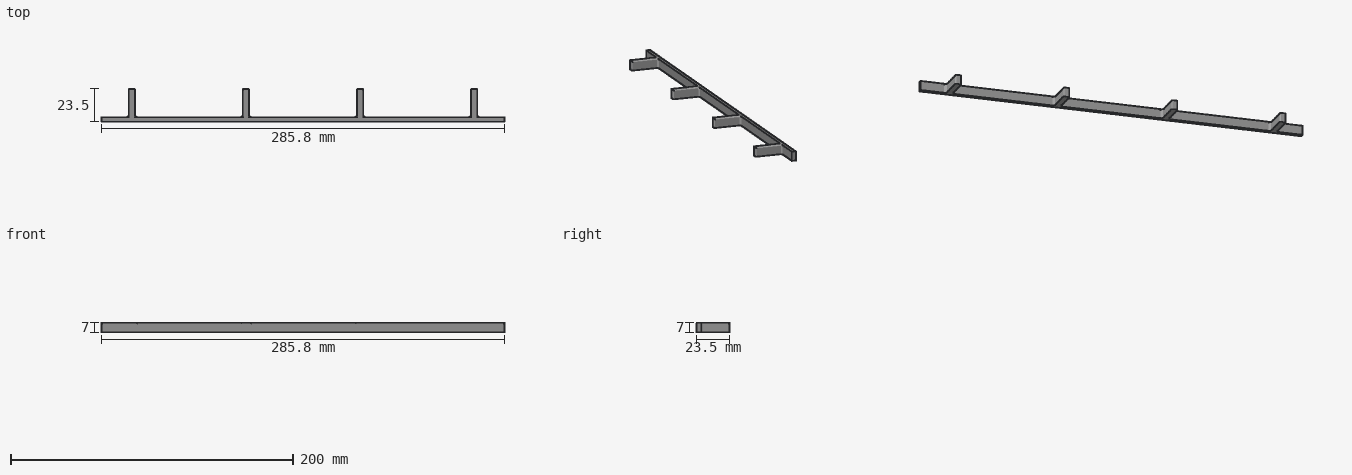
import cadquery as cq

bar_length = 285.8
bar_thickness = 3.5
height = 7.0
total_depth = 23.5
post_count = 4
post_spacing = 81.0
post_width = 4.5
flare_radius = 1.63
edge_diameter = 1.63
edge_radius = edge_diameter / 2

bar_back = bar_thickness
post_centers = [(i - (post_count - 1) / 2) * post_spacing for i in range(post_count)]


def make_bar():
    """Long flat bar with its top front edge and upright front corners rounded."""
    bar = cq.Workplane("XY").box(bar_length, bar_thickness, height, centered=(True, False, False))
    rounded_top = bar.faces("<Y").edges(">Z").fillet(edge_radius)
    rounded_corners = bar.faces("<Y").edges("|Z").fillet(edge_radius)
    return rounded_top.intersect(rounded_corners)


def make_post(center_x):
    """Post behind the bar, long top edges and upright end corners rounded, flared where it meets the bar."""
    half_width = post_width / 2
    flare_half_width = half_width + flare_radius
    post = (
        cq.Workplane("XY")
        .moveTo(-flare_half_width, bar_back)
        .radiusArc((-half_width, bar_back + flare_radius), -flare_radius)
        .lineTo(-half_width, total_depth)
        .lineTo(half_width, total_depth)
        .lineTo(half_width, bar_back + flare_radius)
        .radiusArc((flare_half_width, bar_back), -flare_radius)
        .close()
        .extrude(height)
    )
    rounded_top = post.faces(">Z").edges("|Y").fillet(edge_radius)
    rounded_corners = post.faces(">Y").edges("|Z").fillet(edge_radius)
    post = rounded_top.intersect(rounded_corners)
    root = cq.Workplane("XY").box(post_width, edge_radius, height, centered=(True, False, False))
    root = root.translate((0, bar_back - edge_radius, 0))
    return post.union(root).translate((center_x, 0, 0))


result = make_bar()
for center_x in post_centers:
    result = result.union(make_post(center_x))